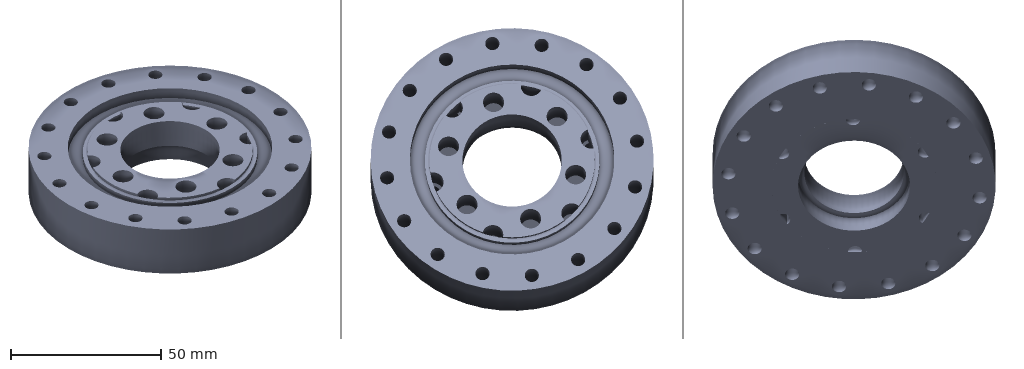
import cadquery as cq

flange_diameter = 94.0
height = 18.0
flange_hole_diameter = 4.7
flange_hole_count = 16
flange_hole_circle_radius = 42.0

lip_inner_diameter = 68.0
outer_race_diameter = 72.0
inner_race_diameter = 58.0
race_top_depth = 2.0
spacer_top_depth = 3.95

hub_diameter = 55.0
hub_top_depth = 0.9
bore_diameter = 33.0
bore_recess_diameter = 37.2
bore_recess_height = 7.0

hub_hole_count = 6
socket_diameter = 7.0
socket_depth = 9.4
blind_hole_circle_radius = 21.7
screw_circle_radius = 27.4
screw_hole_diameter = 4.7
first_screw_angle = 30.0

race_top = height - race_top_depth
spacer_top = height - spacer_top_depth
hub_top = height - hub_top_depth


def cylinder(diameter, top, bottom=0.0):
    """Cylinder on the Z axis between two heights."""
    return cq.Workplane("XY").workplane(offset=bottom).circle(diameter / 2).extrude(top - bottom)


def ring(outer_diameter, inner_diameter, top):
    """Plain ring standing on the base plane."""
    return cylinder(outer_diameter, top).cut(cylinder(inner_diameter, top))


def hole_pattern(circle_radius, start_angle, count, diameter, top, bottom=0.0):
    """Evenly spaced cylinders, used as cutting tools."""
    return (
        cq.Workplane("XY")
        .workplane(offset=bottom)
        .polarArray(circle_radius, start_angle, 360, count)
        .circle(diameter / 2)
        .extrude(top - bottom)
    )


def make_flange():
    """Outer flange whose top lip retains the bearing's outer race."""
    flange = ring(flange_diameter, lip_inner_diameter, height)
    flange = flange.cut(cylinder(outer_race_diameter, race_top))
    screw_holes = hole_pattern(
        flange_hole_circle_radius, 0, flange_hole_count, flange_hole_diameter, height
    )
    return flange.cut(screw_holes)


def make_hub():
    """Hub with a stepped bore, blind holes and screw seats broken by its rim."""
    hub = ring(hub_diameter, bore_diameter, hub_top)
    hub = hub.cut(cylinder(bore_recess_diameter, bore_recess_height))
    socket_floor = hub_top - socket_depth
    blind_holes = hole_pattern(
        blind_hole_circle_radius, 0, hub_hole_count, socket_diameter, hub_top, socket_floor
    )
    screw_heads = hole_pattern(
        screw_circle_radius, first_screw_angle, hub_hole_count, socket_diameter, hub_top, socket_floor
    )
    screw_holes = hole_pattern(
        screw_circle_radius, first_screw_angle, hub_hole_count, screw_hole_diameter, hub_top
    )
    return hub.cut(blind_holes).cut(screw_heads).cut(screw_holes)


flange = make_flange()
outer_race = ring(outer_race_diameter, lip_inner_diameter, race_top)
spacer = ring(lip_inner_diameter, inner_race_diameter, spacer_top)
inner_race = ring(inner_race_diameter, hub_diameter, race_top)
hub = make_hub()

result = cq.Compound.makeCompound(
    [flange.val(), outer_race.val(), spacer.val(), inner_race.val(), hub.val()]
)